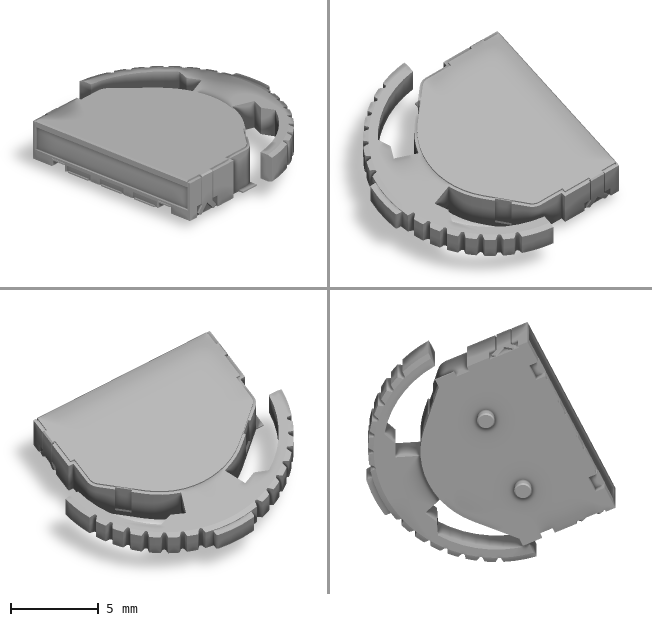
import cadquery as cq
import math


wheel_bottom = 0.71
housing_top = 2.4
wheel_half_span = 7.25
rim_inner_radius = 6.45
rim_end_y = 0.87
wheel_radius = math.hypot(wheel_half_span, rim_end_y)
rim_bevel_width = 0.32
rim_bevel_height = 0.09
groove_count = 7
first_groove_angle = 15.4
groove_pitch = 8.5
groove_width = 0.45
groove_depth = 0.32
groove_bottom_width = 0.25
groove_bottom_rise = 0.12
spoke_points = [(3.61, 5.35), (2.8, 5.03), (1.99, 5.41), (1.36, 3.77)]
knob_half_width = 1.28
knob_radius = 7.68
knob_bottom = 0.93
knob_top = 2.26
knob_corner_radius = 0.13

front_y = -4.71
nose_apex_y = 4.26
nose_radius = 4.9
flank_angle = 42.0
neck_half_width = 5.6
base_half_width = 5.92
shoulder_y = -0.91
neck_corner_radius = 0.87

cover_thickness = 0.1
cover_top = housing_top + cover_thickness
cover_bend = 0.09
cover_inset = 0.17
cover_base_half_width = 5.68
front_panel_half_width = 5.73
front_panel_bottom = 0.62
front_panel_depth = 0.15
front_lip_bottom = 2.09

clip_y = -3.2
clip_depth = 0.13
clip_slot_half_width = 0.52
clip_half_width = 0.45
clip_pocket_half_width = 0.91
clip_pocket_height = 0.71
fork_shoulder_z = 0.58
fork_crotch_z = 0.61
fork_foot_z = 0.05
fork_tip_z = 0.2
fork_half_width = 0.77
fork_inner_half_width = 0.51

flank_clip_x = 4.19
flank_clip_width = 0.97
flank_clip_bottom = 0.39
flank_clip_recess = 0.13

terminal_thickness = 0.09
terminal_overhang = 0.05
contact_pitch = 2.5
contact_width = 1.5
contact_pocket_width = 1.84
contact_pocket_height = 0.4
contact_pocket_depth = 0.06
lead_x = 3.99
lead_width = 0.93
lead_slot_width = 1.0
lead_slot_height = 0.5
lead_slot_depth = 0.58
pad_y_min = -0.12
pad_y_max = 1.09
pin_diameter = 1.0
pin_length = 0.5
pin_chamfer = 0.07
pin_x = 2.5
pin_y = -0.51

overrun = 0.15

SIDES = (-1, 1)


def box(x_min, x_max, y_min, y_max, z_min, z_max):
    size = (x_max - x_min, y_max - y_min, z_max - z_min)
    return cq.Workplane("XY").box(*size, centered=False).translate((x_min, y_min, z_min))


def mirror_outline(points):
    """Return the same points on the -X side, in reverse order."""
    return [(-x, y) for x, y in reversed(points)]


def polar(radius, angle):
    """Point at a radius and an angle in degrees from +Y towards +X."""
    return radius * math.sin(math.radians(angle)), radius * math.cos(math.radians(angle))


def nose_plate(inset, base_half, bottom, top):
    """Plate with a rounded nose, straight flanks, rounded neck corners and a wider base."""
    slope = math.radians(flank_angle)
    radius = nose_radius - inset
    center_y = nose_apex_y - nose_radius
    neck_half = neck_half_width - inset
    flank_start = (radius * math.sin(slope), center_y + radius * math.cos(slope))
    corner_y = flank_start[1] - (neck_half - flank_start[0]) * math.tan(slope)
    corner_turn = math.pi / 2 - slope
    corner_radius = neck_corner_radius - inset
    setback = corner_radius * math.tan(corner_turn / 2)
    flank_end = (neck_half - setback * math.cos(slope), corner_y + setback * math.sin(slope))
    neck_top = (neck_half, corner_y - setback)
    half_turn = corner_turn / 2
    corner_mid = (
        neck_half - corner_radius * (1 - math.cos(half_turn)),
        neck_top[1] + corner_radius * math.sin(half_turn),
    )
    shoulder = shoulder_y - inset
    right = [(base_half, front_y), (base_half, shoulder), (neck_half, shoulder), neck_top]
    left = mirror_outline(right)
    return (
        cq.Workplane("XY", origin=(0, 0, bottom))
        .polyline(right)
        .threePointArc(corner_mid, flank_end)
        .lineTo(*flank_start)
        .threePointArc((0, center_y + radius), (-flank_start[0], flank_start[1]))
        .lineTo(-flank_end[0], flank_end[1])
        .threePointArc((-corner_mid[0], corner_mid[1]), left[0])
        .polyline(left[1:], includeCurrent=True)
        .close()
        .extrude(top - bottom)
    )


def cover_plate():
    plate = nose_plate(cover_inset, cover_base_half_width, housing_top, cover_top)
    return plate.faces("<Y").edges(">Z").chamfer(cover_bend)


def front_panel_recess():
    """Recess in the front wall, leaving the folded lip of the cover above it."""
    half = front_panel_half_width
    recess = box(-half, half, front_y, front_y + front_panel_depth, front_panel_bottom, housing_top)
    half = cover_base_half_width
    lip = box(-half, half, front_y, front_y + front_panel_depth, front_lip_bottom, housing_top)
    return recess.cut(lip)


def clip_pocket(side):
    inner_x = base_half_width - clip_depth
    slot = box(
        inner_x, base_half_width,
        clip_y - clip_slot_half_width, clip_y + clip_slot_half_width,
        0, housing_top,
    )
    pocket = box(
        inner_x, base_half_width,
        clip_y - clip_pocket_half_width, clip_y + clip_pocket_half_width,
        0, clip_pocket_height,
    )
    shape = slot.union(pocket)
    return shape if side > 0 else shape.mirror("YZ")


def clip(side):
    """Strap folded down from the cover, with two splayed legs at its lower end."""
    half_outline = [
        (clip_half_width, cover_top),
        (clip_half_width, fork_shoulder_z),
        (fork_half_width, fork_tip_z),
        (fork_half_width - (fork_tip_z - fork_foot_z), fork_foot_z),
        (fork_inner_half_width, fork_foot_z),
    ]
    outline = half_outline + [(0, fork_crotch_z)] + mirror_outline(half_outline)
    strap = (
        cq.Workplane("YZ", origin=(base_half_width - clip_depth, clip_y, 0))
        .polyline(outline)
        .close()
        .extrude(clip_depth)
    )
    bridge = box(
        cover_base_half_width - overrun, base_half_width - clip_depth,
        clip_y - clip_half_width, clip_y + clip_half_width,
        housing_top, cover_top,
    )
    shape = strap.union(bridge).faces(">X").edges(">Z").chamfer(cover_bend)
    return shape if side > 0 else shape.mirror("YZ")


def on_flank(shape, side):
    """Move a shape built at the origin, with +Y pointing outwards, onto a sloping flank."""
    slope = math.radians(flank_angle)
    center_y = nose_apex_y - nose_radius
    y = center_y + (nose_radius - flank_clip_x * math.sin(slope)) / math.cos(slope)
    placed = shape.rotate((0, 0, 0), (0, 0, 1), -flank_angle).translate((flank_clip_x, y, 0))
    return placed if side > 0 else placed.mirror("YZ")


def flank_slot(side):
    half = flank_clip_width / 2
    slot = box(-half, half, -flank_clip_recess, overrun, flank_clip_bottom, cover_top)
    return on_flank(slot, side)


def flank_clip_bend(side):
    """Bend of the cover where the flank clip folds down into its slot."""
    half = flank_clip_width / 2
    bend = box(-half, half, -cover_inset - overrun, -flank_clip_recess, housing_top, cover_top)
    return on_flank(bend.faces(">Y").edges(">Z").chamfer(cover_bend), side)


def rim_groove(angle):
    """V-shaped groove with a rounded bottom, cut along Z into the rim."""
    bottom_radius = wheel_radius - groove_depth
    half = groove_width / 2
    bottom_half = groove_bottom_width / 2
    rise_y = bottom_radius + groove_bottom_rise
    clearance_y = wheel_radius + overrun
    return (
        cq.Workplane("XY", origin=(0, 0, wheel_bottom))
        .polyline([(-half, clearance_y), (-half, wheel_radius), (-bottom_half, rise_y)])
        .threePointArc((0, bottom_radius), (bottom_half, rise_y))
        .lineTo(half, wheel_radius)
        .lineTo(half, clearance_y)
        .close()
        .extrude(housing_top - wheel_bottom)
        .rotate((0, 0, 0), (0, 0, 1), -angle)
    )


def wheel_rim():
    height = housing_top - wheel_bottom
    disc = cq.Workplane("XY", origin=(0, 0, wheel_bottom)).circle(wheel_radius).extrude(height)
    disc = disc.faces("<Z").edges().chamfer(rim_bevel_height, rim_bevel_width)
    disc = disc.faces(">Z").edges().chamfer(rim_bevel_height, rim_bevel_width)
    bore = cq.Workplane("XY", origin=(0, 0, wheel_bottom)).circle(rim_inner_radius).extrude(height)
    reach = wheel_radius + overrun
    front_part = box(-reach, reach, -reach, rim_end_y, wheel_bottom, housing_top)
    rim = disc.cut(bore).cut(front_part)
    for index in range(groove_count):
        for side in SIDES:
            rim = rim.cut(rim_groove(side * (first_groove_angle + index * groove_pitch)))
    return rim


def wheel_spoke():
    """Web joining the rim to the housing, with a tooth-shaped step on each side."""
    rim_middle = (rim_inner_radius + wheel_radius - rim_bevel_width) / 2
    first_x, first_y = spoke_points[0]
    rim_x, rim_y = polar(rim_middle, math.degrees(math.atan2(first_x, first_y)))
    return (
        cq.Workplane("XY", origin=(0, 0, wheel_bottom))
        .moveTo(-rim_x, rim_y)
        .threePointArc((0, rim_middle), (rim_x, rim_y))
        .polyline(spoke_points + mirror_outline(spoke_points), includeCurrent=True)
        .close()
        .extrude(housing_top - wheel_bottom)
    )


def wheel_knob():
    root_y = rim_inner_radius
    side_y = math.sqrt(knob_radius**2 - knob_half_width**2)
    return (
        cq.Workplane("XY", origin=(0, 0, knob_bottom))
        .polyline([(-knob_half_width, side_y), (-knob_half_width, root_y),
                   (knob_half_width, root_y), (knob_half_width, side_y)])
        .threePointArc((0, knob_radius), (-knob_half_width, side_y))
        .close()
        .extrude(knob_top - knob_bottom)
        .edges("|Z")
        .edges(">Y")
        .fillet(knob_corner_radius)
    )


def front_block(center_x, width, y_min, y_max, z_min, z_max):
    return box(center_x - width / 2, center_x + width / 2, y_min, y_max, z_min, z_max)


def solder_pad(side):
    inner_x = neck_half_width - neck_corner_radius
    pad = box(inner_x, base_half_width, pad_y_min, pad_y_max, 0, terminal_thickness)
    return pad if side > 0 else pad.mirror("YZ")


def locating_pin(side):
    return (
        cq.Workplane("XY", origin=(side * pin_x, pin_y, -pin_length))
        .circle(pin_diameter / 2)
        .extrude(pin_length)
        .faces("<Z")
        .chamfer(pin_chamfer)
    )


result = nose_plate(0, base_half_width, 0, housing_top)
result = result.cut(front_panel_recess())
result = result.union(cover_plate())

for side in SIDES:
    result = result.cut(clip_pocket(side)).union(clip(side))
    result = result.cut(flank_slot(side)).union(flank_clip_bend(side))
    result = result.union(solder_pad(side)).union(locating_pin(side))

terminal_tip_y = front_y - terminal_overhang
pocket_back_y = front_y + contact_pocket_depth
slot_back_y = front_y + lead_slot_depth
for position in (-1, 0, 1):
    contact_x = position * contact_pitch
    pocket = front_block(
        contact_x, contact_pocket_width, front_y, pocket_back_y, 0, contact_pocket_height
    )
    contact = front_block(
        contact_x, contact_width, terminal_tip_y, pocket_back_y, 0, terminal_thickness
    )
    result = result.cut(pocket).union(contact)

for side in SIDES:
    slot = front_block(side * lead_x, lead_slot_width, front_y, slot_back_y, 0, lead_slot_height)
    lead = front_block(
        side * lead_x, lead_width, terminal_tip_y, slot_back_y,
        lead_slot_height - terminal_thickness, lead_slot_height,
    )
    result = result.cut(slot).union(lead)

result = result.union(wheel_rim()).union(wheel_spoke()).union(wheel_knob())